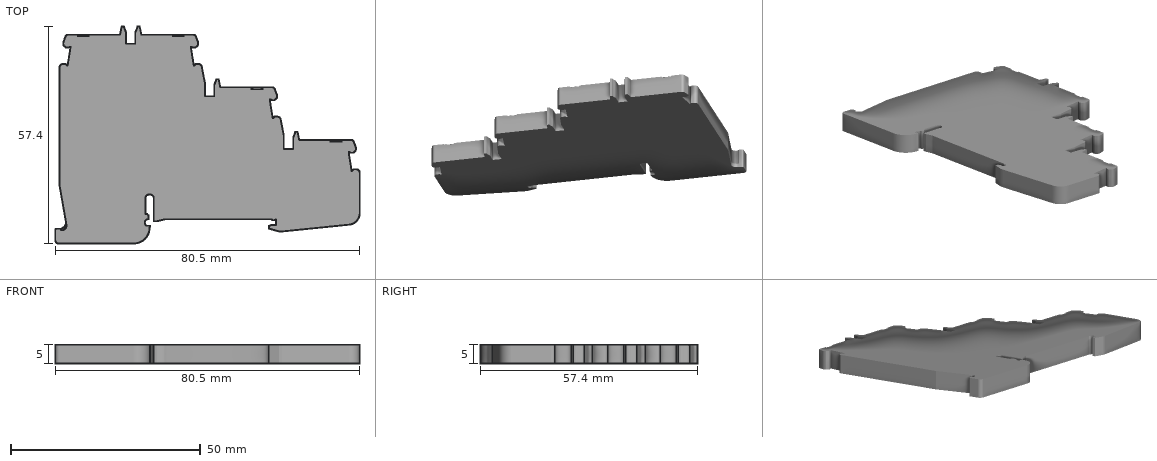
import cadquery as cq
import math

thickness = 5.0
total_length = 80.52
total_height = 57.4

stage_count = 3
stage_step_x = 20.85
stage_step_y = 13.9
shoulder_half_width = 18.85
first_center_x = total_length - (stage_count - 1) * stage_step_x - shoulder_half_width

finger_height = 2.14
first_deck_y = total_height - finger_height
slot_half_width = 1.2
slot_depth = 2.4
finger_outer_offset = 2.85
finger_root_rise = 0.6
finger_tip_half_width = 0.3
finger_shoulder_half_width = 0.45
finger_tip_drop = 0.53
finger_tip_offset = 2.07

deck_end_inset = 2.5
head_bulge_inset = 1.9
head_bulge_drop = 0.15
head_corner_inset = 1.6
head_corner_drop = 0.5
nose_top_inset = 1.2
nose_top_drop = 1.6
nose_inset = 1.0
nose_drop = 2.35
nose_bottom_inset = 1.1
nose_bottom_drop = 2.94
lip_inset = 1.75
lip_end_inset = 2.4
lip_drop = 3.47
undercut_inset = 2.95
undercut_drop = 3.2
neck_inset = 2.14
neck_drop = 8.25
shoulder_rise_inset = 1.65
shoulder_drop = 7.75
shoulder_round = 1.0
flank_drop = 12.8

recess_width = 3.0
recess_offset = 12.55
recess_depth = 0.5
recess_overhang = 1.0
recess_taper = 60.0
recess_height = recess_depth / math.tan(math.radians(recess_taper))

foot_height = 4.0
foot_bottom_round = 1.0
foot_top_round = 0.5
slant_top_y = 15.5
foot_right_round = 4.3
foot_right_x = 25.0
foot_lip_x = 25.2
foot_step_y = 4.8
notch_floor_x = 1.35
notch_low_point = (1.6, 3.55)
notch_middle = (2.75, 4.0)
notch_top = (2.9, 5.35)
fillet_start_x = 1.6
fillet_middle = (2.45, 4.5)
fillet_top_y = 5.9
notch_web_thickness = 1.0

spring_slot_left = 23.9
spring_slot_right = 26.05
spring_slot_top = 13.0
spring_slot_round = 0.7
barb_top_y = 7.85
barb_tip_x = 24.7
barb_slant = 0.4
barb_bottom_y = 6.4
foot_groove_depth = 0.1
foot_groove_middle_y = 5.9
foot_groove_end_x = 24.1
rail_lip_y = 5.9
rail_lip_end_x = 26.9
rail_face_start_x = 28.9

rail_face_y = 6.4
tooth_start_x = 57.2
tooth_left_x = 57.4
tooth_right_x = 57.9
tooth_height = 0.25
hook_slot_x = 58.35
hook_top_y = 5.0
hook_tip_x = 56.5
hook_tip_top_y = 4.7
hook_tip_slant = 0.7
hook_tip_bottom_y = 3.95
hook_bottom_start_x = 59.2
hook_bottom_end_x = 60.0
hook_bottom_y = 3.2
base_slope = math.radians(5.8)
base_round = 3.14
base_round_center_y = 8.12


def stage_origin(index):
    """Slot centre and deck level of a stage."""
    return first_center_x + index * stage_step_x, first_deck_y - index * stage_step_y


def draw_path(outline, path, center_x=0.0, deck_y=0.0, side=1):
    """Follow a path of segments: one point is a line's end, two are an arc's middle and end."""
    for segment in path:
        points = [(center_x + side * x, deck_y + y) for x, y in segment]
        if len(points) == 1:
            outline = outline.lineTo(*points[0])
        else:
            outline = outline.threePointArc(*points)
    return outline


def reverse_path(start, path):
    """Same path walked backward, ending at its former start point."""
    ends = [start] + [segment[-1] for segment in path[:-1]]
    return [segment[:-1] + [end] for segment, end in zip(reversed(path), reversed(ends))]


def half_stage_path():
    """Right half of a stage about its slot centre and deck level, from slot floor to shoulder."""
    edge = shoulder_half_width
    finger_shoulder_y = finger_height - finger_tip_drop
    round_gap = shoulder_round * (1 - math.sin(math.radians(45)))
    return [
        [(slot_half_width, -slot_depth)],
        [(slot_half_width, finger_root_rise)],
        [(finger_tip_offset - finger_shoulder_half_width, finger_shoulder_y)],
        [(finger_tip_offset - finger_tip_half_width, finger_height)],
        [(finger_tip_offset + finger_tip_half_width, finger_height)],
        [(finger_tip_offset + finger_shoulder_half_width, finger_shoulder_y)],
        [(finger_outer_offset, 0.0)],
        [(edge - deck_end_inset, 0.0)],
        [(edge - head_bulge_inset, -head_bulge_drop), (edge - head_corner_inset, -head_corner_drop)],
        [(edge - nose_top_inset, -nose_top_drop)],
        [(edge - nose_inset, -nose_drop), (edge - nose_bottom_inset, -nose_bottom_drop)],
        [(edge - lip_inset, -lip_drop)],
        [(edge - lip_end_inset, -lip_drop)],
        [(edge - undercut_inset, -undercut_drop)],
        [(edge - neck_inset, -neck_drop)],
        [(edge - shoulder_rise_inset, -shoulder_drop)],
        [(edge - shoulder_round, -shoulder_drop)],
        [(edge - round_gap, -shoulder_drop - round_gap), (edge, -shoulder_drop - shoulder_round)],
    ]


def flank_path():
    """From a shoulder down to the floor of the next stage's slot."""
    next_slot_x = stage_step_x - slot_half_width
    return [
        [(next_slot_x, -flank_drop)],
        [(next_slot_x, -stage_step_y - slot_depth)],
    ]


def base_round_point(angle):
    """Point on the lower right corner round, at an angle from +X."""
    x = total_length - base_round + base_round * math.cos(angle)
    return x, base_round_center_y + base_round * math.sin(angle)


def underside_path():
    """From the right side along the rail face and spring slot to the foot's bottom edge."""
    slot_top_middle = (spring_slot_left + spring_slot_right) / 2
    arc_reach = foot_right_round * math.sin(math.radians(45))
    arc_center_x = foot_right_x - foot_right_round
    return [
        [(total_length, base_round_center_y)],
        [base_round_point(math.radians(-45)), base_round_point(base_slope - math.radians(90))],
        [(hook_bottom_end_x, hook_bottom_y)],
        [(hook_bottom_start_x, hook_bottom_y)],
        [(hook_tip_x, hook_tip_bottom_y)],
        [(hook_tip_x, hook_tip_top_y)],
        [(hook_tip_x + hook_tip_slant, hook_top_y)],
        [(hook_slot_x, hook_top_y)],
        [(hook_slot_x, rail_face_y)],
        [(tooth_right_x, rail_face_y - tooth_height)],
        [(tooth_left_x, rail_face_y - tooth_height)],
        [(tooth_start_x, rail_face_y)],
        [(rail_face_start_x, rail_face_y)],
        [(rail_lip_end_x, rail_lip_y)],
        [(spring_slot_right, rail_lip_y)],
        [(spring_slot_right, spring_slot_top - spring_slot_round)],
        [(slot_top_middle, spring_slot_top), (spring_slot_left, spring_slot_top - spring_slot_round)],
        [(spring_slot_left, barb_top_y)],
        [(barb_tip_x - barb_slant, barb_top_y)],
        [(barb_tip_x, barb_top_y - barb_slant)],
        [(barb_tip_x, barb_bottom_y)],
        [(barb_tip_x - barb_slant, barb_bottom_y)],
        [(spring_slot_left - foot_groove_depth, foot_groove_middle_y), (foot_groove_end_x, foot_step_y)],
        [(foot_lip_x, foot_step_y)],
        [(foot_right_x, foot_right_round)],
        [(arc_center_x + arc_reach, foot_right_round - arc_reach), (arc_center_x, 0.0)],
    ]


def foot_path():
    """From the foot's bottom edge around its left end to the top of the foot."""
    bottom_gap = foot_bottom_round * (1 - math.sin(math.radians(45)))
    top_gap = foot_top_round * (1 - math.sin(math.radians(45)))
    return [
        [(foot_bottom_round, 0.0)],
        [(bottom_gap, bottom_gap), (0.0, foot_bottom_round)],
        [(0.0, foot_height - foot_top_round)],
        [(top_gap, foot_height - top_gap), (foot_top_round, foot_height)],
    ]


def make_plate(notch_path, height):
    """Plate of the full outline, with the given shape of the notch above the foot."""
    half_stage = half_stage_path()
    mirrored_half = reverse_path((0.0, -slot_depth), half_stage)
    shoulder = half_stage[-1][-1]
    outline = cq.Workplane("XY").moveTo(first_center_x - shoulder[0], first_deck_y + shoulder[1])
    outline = draw_path(outline, mirrored_half, first_center_x, first_deck_y, side=-1)
    for index in range(stage_count):
        center_x, deck_y = stage_origin(index)
        outline = draw_path(outline, half_stage, center_x, deck_y)
        if index < stage_count - 1:
            outline = draw_path(outline, flank_path(), center_x, deck_y)
    outline = draw_path(outline, underside_path() + foot_path() + notch_path)
    outline = outline.lineTo(first_center_x - shoulder_half_width, slant_top_y)
    return outline.close().extrude(height)


def make_recess(center_x, deck_y):
    """Cutter for one tapered recess, narrowing downward from the upper face."""
    length = recess_depth + recess_overhang
    return (
        cq.Workplane("XY", origin=(center_x, deck_y - recess_depth + length / 2, thickness))
        .rect(recess_width, length)
        .extrude(-recess_height, taper=recess_taper)
    )


undercut_notch = [
    [(notch_floor_x, foot_height)],
    [notch_low_point],
    [notch_middle, notch_top],
]
slant_top_x = first_center_x - shoulder_half_width
slant_slope = (notch_top[0] - slant_top_x) / (slant_top_y - notch_top[1])
fillet_top = (slant_top_x + slant_slope * (slant_top_y - fillet_top_y), fillet_top_y)
filleted_notch = [
    [(fillet_start_x, foot_height)],
    [fillet_middle, fillet_top],
]

result = make_plate(undercut_notch, thickness).union(make_plate(filleted_notch, notch_web_thickness))

for stage in range(stage_count):
    stage_x, stage_y = stage_origin(stage)
    result = result.cut(make_recess(stage_x + recess_offset, stage_y))
result = result.cut(make_recess(first_center_x - recess_offset, first_deck_y))